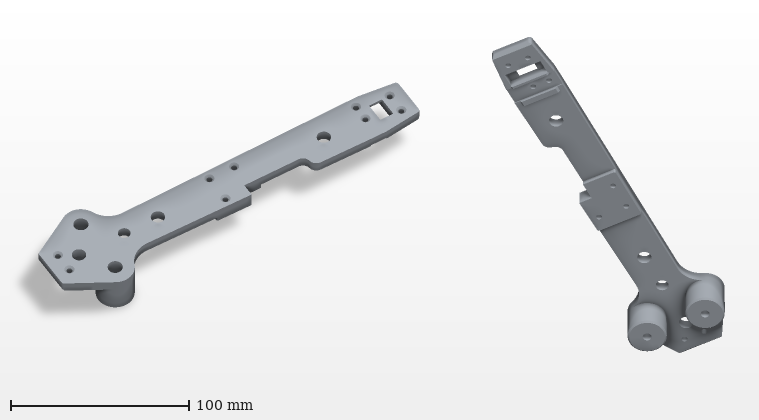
import cadquery as cq
import math


length = 236.5
plate_thickness = 6.5
front_half_width = 12.8
back_half_width = 12.3
neck_half_width = 13.0
wide_half_width = 30.0 / 2
wide_start = 202.5
wide_end = 212.5
neck_blend_radius = 15.0
front_corner_radius = 1.5
back_corner_radius = 2.0
end_bevel_height = 1.5
end_bevel_depth = 1.2

pin_diameter = 22.0
pin_radius = pin_diameter / 2
pin_x = 18.2
pin_y = 31.5
pin_places = [(-pin_x, pin_y), (pin_x, pin_y)]
overall_height = 23.2
pin_chamfer = 1.0
pin_hole_diameter = 5.0
pin_counterbore_diameter = 8.5
pin_counterbore_depth = 14.2

slot_start = 202.1
slot_end = wide_end
slot_depth = 0.7
rail_start = 198.8
rail_end = 214.0
rail_height = 1.5
rail_half_length = 11.8
rail_end_slope = 1.2

pad_start = 101.5
pad_end = 135.0
pad_height = 2.8
pad_corner_radius = 1.0

notch_x = 6.1
notch_start = 124.0
notch_end_middle = 164.5
notch_corner_radius = 4.7

large_hole_diameter = 8.0
large_hole_places = [(0, 19.0), (0, 71.0), (0, 180.4)]
middle_hole_diameter = 7.0
middle_hole_place = (0, 48.7)
window_width = 12.0
window_start = 214.0
window_end = 222.5
window_web = 2.0
window_pocket_width = 22.7
screw_hole_diameter = 3.3
screw_countersink_diameter = 5.7
screw_countersink_angle = 90
end_screw_x = 6.1
pad_screw_x = 8.5
left_slot_screw = (-9.2, 207.3)
right_slot_screw = (0.7, 207.3)
front_screw_y = 8.7
back_screw_y = 227.7
pad_front_screw_y = 110.2
pad_back_screw_y = 126.5
screw_places = [
    (-end_screw_x, front_screw_y),
    (end_screw_x, front_screw_y),
    (-pad_screw_x, pad_front_screw_y),
    (pad_screw_x, pad_front_screw_y),
    (-pad_screw_x, pad_back_screw_y),
    left_slot_screw,
    right_slot_screw,
    (-end_screw_x, back_screw_y),
    (end_screw_x, back_screw_y),
]


def pin_rim(degrees):
    """Point on the +X pin's rim in the given direction from its axis."""
    angle = math.radians(degrees)
    return (pin_x + pin_radius * math.cos(angle), pin_y + pin_radius * math.sin(angle))


def mirrored(point):
    return (-point[0], point[1])


def edge_x(y):
    """Half width of the tapered arm at a place along its length."""
    share = (y - neck_y) / (wide_start - neck_y)
    return neck_half_width + share * (wide_half_width - neck_half_width)


blend_x = neck_half_width + neck_blend_radius
blend_rise = math.sqrt((pin_radius + neck_blend_radius) ** 2 - (blend_x - pin_x) ** 2)
neck_y = pin_y + blend_rise
blend_angle = math.degrees(math.atan2(blend_rise, blend_x - pin_x))

corner_distance = math.hypot(pin_x - front_half_width, pin_y)
corner_direction = math.atan2(-pin_y, front_half_width - pin_x)
flank_angle = math.degrees(corner_direction + math.acos(pin_radius / corner_distance))


def blend_middle():
    """Middle of the neck blend on the +X side, between the neck and the pin."""
    angle = math.radians(180 + blend_angle / 2)
    return (
        blend_x + neck_blend_radius * math.cos(angle),
        neck_y + neck_blend_radius * math.sin(angle),
    )


def make_plate():
    """Plate whose head stops at a chord across each pin; the pins round the head's sides."""
    flank_point = pin_rim(flank_angle)
    blend_point = pin_rim(blend_angle)
    neck_point = (neck_half_width, neck_y)
    plate = (
        cq.Workplane("XY")
        .moveTo(-front_half_width, 0)
        .lineTo(front_half_width, 0)
        .lineTo(*flank_point)
        .lineTo(*blend_point)
        .threePointArc(blend_middle(), neck_point)
        .lineTo(wide_half_width, wide_start)
        .lineTo(wide_half_width, wide_end)
        .lineTo(back_half_width, length)
        .lineTo(-back_half_width, length)
        .lineTo(-wide_half_width, wide_end)
        .lineTo(-wide_half_width, wide_start)
        .lineTo(*mirrored(neck_point))
        .threePointArc(mirrored(blend_middle()), mirrored(blend_point))
        .lineTo(*mirrored(flank_point))
        .close()
        .extrude(plate_thickness)
    )
    plate = plate.faces("<Y").edges("|Z").fillet(front_corner_radius)
    return plate.faces(">Y").edges("|Z").fillet(back_corner_radius)


def bevel_ends(plate):
    """Slope the lower edge of both ends inward."""
    for end_y, inward in ((0, 1), (length, -1)):
        bevel = (
            cq.Workplane("YZ")
            .polyline([(end_y, 0), (end_y + inward * end_bevel_depth, 0), (end_y, end_bevel_height)])
            .close()
            .extrude(wide_half_width, both=True)
        )
        plate = plate.cut(bevel)
    return plate


def make_pad():
    """Pad that follows the sides of the arm, with rounded upright corners."""
    return (
        cq.Workplane("XY")
        .polyline([
            (-edge_x(pad_start), pad_start),
            (edge_x(pad_start), pad_start),
            (edge_x(pad_end), pad_end),
            (-edge_x(pad_end), pad_end),
        ])
        .close()
        .extrude(-pad_height)
        .edges("|Z")
        .fillet(pad_corner_radius)
    )


def make_rails():
    """Bar with sloped ends; the cross slot later splits it into two rails."""
    return (
        cq.Workplane("XZ", origin=(0, rail_end, 0))
        .polyline([
            (-rail_half_length, 0),
            (-rail_half_length + rail_end_slope, -rail_height),
            (rail_half_length - rail_end_slope, -rail_height),
            (rail_half_length, 0),
        ])
        .close()
        .extrude(rail_end - rail_start)
    )


def make_slot():
    """Cross slot through the rails and slightly into the plate."""
    return (
        cq.Workplane("XY", origin=(0, 0, slot_depth))
        .moveTo(0, (slot_start + slot_end) / 2)
        .rect(2 * wide_half_width, slot_end - slot_start)
        .extrude(-slot_depth - rail_height)
    )


def make_pins():
    """Pins from the top of the plate down, chamfered at the tip."""
    return (
        cq.Workplane("XY", origin=(0, 0, plate_thickness))
        .pushPoints(pin_places)
        .circle(pin_radius)
        .extrude(-overall_height)
        .faces("<Z")
        .edges()
        .chamfer(pin_chamfer)
    )


def make_notch():
    """Pocket open to the +X edge, ending toward +Y in two equal arcs that touch midway."""
    side_x = edge_x(notch_end_middle)
    middle_x = (notch_x + side_x) / 2
    half_shift = middle_x - notch_x - notch_corner_radius
    half_rise = math.sqrt(notch_corner_radius ** 2 - half_shift ** 2)
    return (
        cq.Workplane("XY", origin=(0, 0, -pad_height))
        .moveTo(pin_x, notch_start)
        .lineTo(notch_x, notch_start)
        .lineTo(notch_x, notch_end_middle - half_rise)
        .radiusArc((middle_x, notch_end_middle), notch_corner_radius)
        .radiusArc((side_x, notch_end_middle + half_rise), -notch_corner_radius)
        .lineTo(pin_x, notch_end_middle + half_rise)
        .close()
        .extrude(pad_height + plate_thickness)
    )


def top_at(body, places):
    """Drilling places on the top face of the plate."""
    return body.faces(">Z").workplane(origin=(0, 0, plate_thickness)).pushPoints(places)


def drill(body):
    body = top_at(body, large_hole_places).hole(large_hole_diameter)
    body = top_at(body, [middle_hole_place]).hole(middle_hole_diameter)
    body = top_at(body, screw_places).cskHole(
        screw_hole_diameter, screw_countersink_diameter, screw_countersink_angle
    )
    return top_at(body, pin_places).cboreHole(
        pin_hole_diameter, pin_counterbore_diameter, pin_counterbore_depth
    )


def window_block(width, height):
    """Block over the window's stretch of Y, rising from the underside."""
    return (
        cq.Workplane("XY")
        .moveTo(0, (window_start + window_end) / 2)
        .rect(width, window_end - window_start)
        .extrude(height)
    )


def make_window():
    """Window through a thin web, widened below the web."""
    opening = window_block(window_width, plate_thickness)
    return opening.union(window_block(window_pocket_width, plate_thickness - window_web))


body = bevel_ends(make_plate())
body = body.union(make_pad()).union(make_rails()).union(make_pins())
body = body.cut(make_slot()).cut(make_notch()).cut(make_window())
result = drill(body)